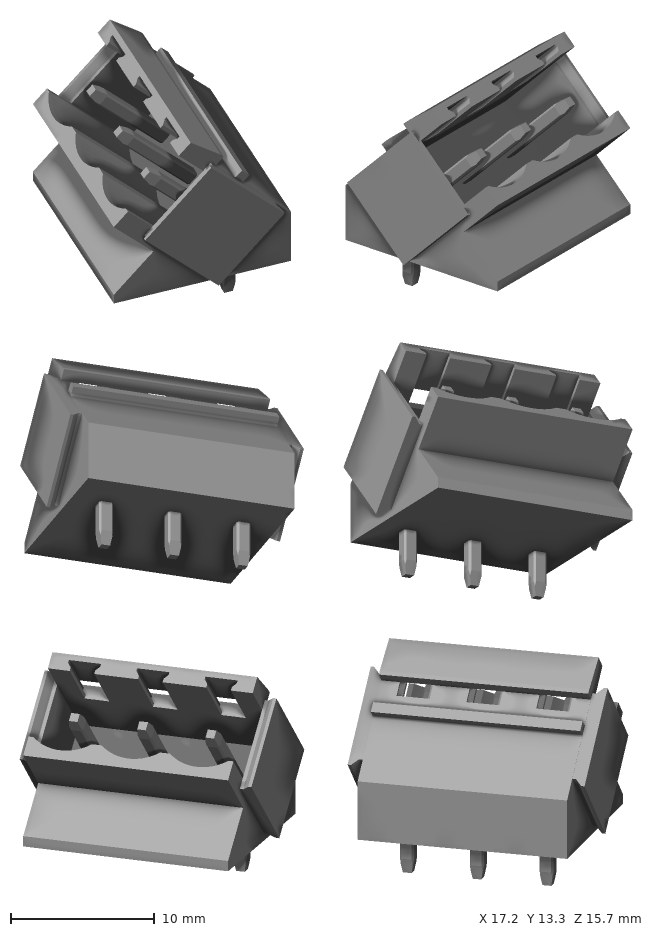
import cadquery as cq
import math


overall_width = 17.24
way_count = 3
flange_overhang = 1.0
housing_width = overall_width - 2 * flange_overhang
pitch = housing_width / way_count
way_centers = [(i - (way_count - 1) / 2) * pitch for i in range(way_count)]

housing_depth = 13.3
mating_u = 4.72
lip_outer_v = mating_u
back_v = 12.41
foot_u = 0.53

head_tip_v = 12.88
head_shoulder_v = 13.27
head_back_u = 1.62
head_shoulder_length = 0.31

rib_u = -0.86
rib_width = 0.78
rib_height = 0.69
rib_root_radius = 0.17

cavity_bottom_v = 6.22
cavity_top_v = 11.6
cavity_floor_u = -3.88
scallop_chord = 4.35
scallop_depth = 0.75

slot_end_u = foot_u
slot_narrow_width = 1.83
slot_wide_width = 2.4
slot_top_v = 12.43
slot_wide_edge_v = 12.22
slot_narrow_edge_v = 11.88

flange_bottom_v = 5.4
flange_top_v = 12.4
flange_front_u = 2.64
flange_back_u = -5.15
flange_neck_recess = 0.5
flange_rim_thickness = 0.24
flange_neck_length = 0.28

pin_width = 1.02
pin_chamfer = 0.14
pin_tip_width = 0.64
pin_tip_length = 1.03
tail_y = 9.48
tail_end_z = -3.22
mating_pin_v = 8.53
mating_pin_end_u = 3.8

diagonal = math.sqrt(0.5)
u_direction = cq.Vector(0, -diagonal, diagonal)
v_direction = cq.Vector(0, diagonal, diagonal)
side_plane = cq.Plane(origin=(0, 0, 0), xDir=u_direction, normal=(-1, 0, 0))
flange_plane = cq.Plane(origin=(0, 0, 0), xDir=u_direction, normal=v_direction)


def tilted(u, v):
    """Return the (y, z) position of a point given along the tilted directions."""
    return ((v - u) * diagonal, (u + v) * diagonal)


def mating_workplane(u, x=0):
    """Workplane facing out of the mating side at height u, with local axes x and v."""
    plane = cq.Plane(origin=(x, *tilted(u, 0)), xDir=(1, 0, 0), normal=u_direction)
    return cq.Workplane(plane)


def make_block():
    """Solid housing body: foot, lip, back wall and thickened upper wall."""
    outline = [
        (0, 0),
        (0, foot_u / diagonal),
        tilted(foot_u, lip_outer_v),
        tilted(mating_u, lip_outer_v),
        tilted(mating_u, head_tip_v),
        tilted(head_back_u + head_shoulder_length, head_shoulder_v),
        tilted(head_back_u, head_shoulder_v),
        tilted(head_back_u, back_v),
        (housing_depth, back_v / diagonal - housing_depth),
        (housing_depth, 0),
    ]
    return cq.Workplane("YZ").polyline(outline).close().extrude(housing_width / 2, both=True)


def make_rib():
    """Rib along the back with concave fillets at its root."""
    front_u = rib_u + rib_width / 2
    rear_u = rib_u - rib_width / 2
    top_v = back_v + rib_height
    root_v = back_v + rib_root_radius
    sunk_v = back_v - rib_root_radius
    arc_offset = rib_root_radius * (1 - diagonal)
    return (
        cq.Workplane(side_plane)
        .moveTo(front_u, top_v)
        .lineTo(front_u, root_v)
        .threePointArc(
            (front_u + arc_offset, back_v + arc_offset), (front_u + rib_root_radius, back_v)
        )
        .lineTo(front_u + rib_root_radius, sunk_v)
        .lineTo(rear_u - rib_root_radius, sunk_v)
        .lineTo(rear_u - rib_root_radius, back_v)
        .threePointArc((rear_u - arc_offset, back_v + arc_offset), (rear_u, root_v))
        .lineTo(rear_u, top_v)
        .close()
        .extrude(housing_width / 2, both=True)
    )


def make_flange():
    """End flange on the +X side, narrowed to a neck beside the housing."""
    inner_x = housing_width / 2
    neck_x = inner_x + flange_neck_length
    rim_x = overall_width / 2 - flange_rim_thickness
    outer_x = overall_width / 2
    neck_front_u = flange_front_u - flange_neck_recess
    neck_back_u = flange_back_u + flange_neck_recess
    outline = [
        (neck_front_u, inner_x),
        (neck_front_u, neck_x),
        (flange_front_u, rim_x),
        (flange_front_u, outer_x),
        (flange_back_u, outer_x),
        (flange_back_u, rim_x),
        (neck_back_u, neck_x),
        (neck_back_u, inner_x),
    ]
    return (
        cq.Workplane(flange_plane)
        .workplane(offset=flange_bottom_v)
        .polyline(outline)
        .close()
        .extrude(flange_top_v - flange_bottom_v)
    )


def make_cavity():
    """Cavity across the full housing width, closed at its ends by the flanges."""
    middle_v = (cavity_bottom_v + cavity_top_v) / 2
    return (
        mating_workplane(cavity_floor_u)
        .center(0, middle_v)
        .rect(housing_width, cavity_top_v - cavity_bottom_v)
        .extrude(mating_u - cavity_floor_u)
    )


def make_scallop(x):
    """Round channel along the inside of the lip."""
    return (
        mating_workplane(cavity_floor_u, x)
        .moveTo(-scallop_chord / 2, cavity_bottom_v)
        .threePointArc((0, cavity_bottom_v - scallop_depth), (scallop_chord / 2, cavity_bottom_v))
        .close()
        .extrude(mating_u - cavity_floor_u)
    )


def make_slot(x):
    """T-slot in the upper wall, open to the cavity, the mating end and, behind the head, the back."""
    half_narrow = slot_narrow_width / 2
    half_wide = slot_wide_width / 2
    right_side = [
        (half_narrow, cavity_top_v),
        (half_narrow, slot_narrow_edge_v),
        (half_wide, slot_wide_edge_v),
        (half_wide, slot_top_v),
    ]
    left_side = [(-local_x, v) for local_x, v in reversed(right_side)]
    return (
        mating_workplane(slot_end_u, x)
        .polyline(right_side + left_side)
        .close()
        .extrude(mating_u - slot_end_u)
    )


def make_bar(x, tail_z, mating_end_u, chamfer):
    """Bent square bar from the tail end up to the bend and out along the mating direction."""
    bend_z = mating_pin_v / diagonal - tail_y
    path = (
        cq.Workplane("YZ", origin=(x, 0, 0))
        .moveTo(tail_y, tail_z)
        .lineTo(tail_y, bend_z)
        .lineTo(*tilted(mating_end_u, mating_pin_v))
    )
    section = cq.Sketch().rect(pin_width, pin_width)
    if chamfer:
        section = section.vertices().chamfer(chamfer)
    return (
        cq.Workplane("XY", origin=(x, tail_y, tail_z))
        .placeSketch(section)
        .sweep(path, transition="right")
    )


def make_tip(base):
    """Square taper that stands on the given workplane."""
    return (
        base.rect(pin_width, pin_width)
        .workplane(offset=pin_tip_length)
        .rect(pin_tip_width, pin_tip_width)
        .loft(ruled=True)
    )


def make_pin(x):
    """Bent pin: a chamfered bar trimmed to a square taper at both ends."""
    shoulder_z = tail_end_z + pin_tip_length
    shoulder_u = mating_pin_end_u - pin_tip_length
    tail_plane = cq.Plane(origin=(x, tail_y, shoulder_z), xDir=(1, 0, 0), normal=(0, 0, -1))
    mating_base = mating_workplane(shoulder_u, x).center(0, mating_pin_v)
    envelope = (
        make_bar(x, shoulder_z, shoulder_u, chamfer=0)
        .union(make_tip(cq.Workplane(tail_plane)))
        .union(make_tip(mating_base))
    )
    return make_bar(x, tail_end_z, mating_pin_end_u, pin_chamfer).intersect(envelope).solids()


def make_housing(pins):
    """Housing with its flanges, and with a matching hole for each pin."""
    flange = make_flange()
    housing = make_block().union(make_rib()).cut(make_cavity())
    for x in way_centers:
        housing = housing.cut(make_scallop(x)).cut(make_slot(x))
    housing = housing.union(flange).union(flange.mirror("YZ"))
    for pin in pins:
        housing = housing.cut(pin)
    return housing.solids()


pins = [make_pin(x) for x in way_centers]
housing = make_housing(pins)

result = cq.Compound.makeCompound([housing.val(), *[pin.val() for pin in pins]])